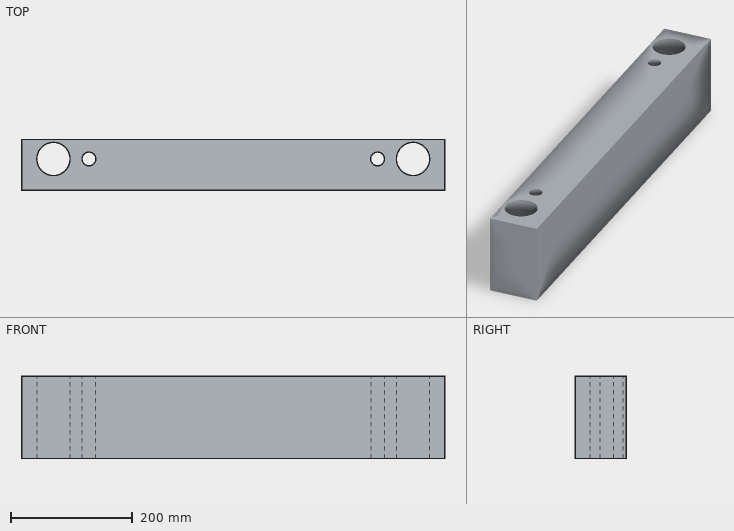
import cadquery as cq

length = 696.0
width = 84.0
height = 136.0

large_diameter = 54.0
large_spacing = 591.5
small_diameter = 22.0
small_spacing = 475.0
hole_line_y = 10.0


def drill_pair(body, diameter, spacing):
    """Drill two through holes, spaced evenly about the middle of the bar."""
    return (
        body.faces(">Z")
        .workplane(origin=(0, 0, 0))
        .pushPoints([(side * spacing / 2, hole_line_y) for side in (-1, 1)])
        .hole(diameter)
    )


result = cq.Workplane("XY").box(length, width, height)
result = drill_pair(result, large_diameter, large_spacing)
result = drill_pair(result, small_diameter, small_spacing)